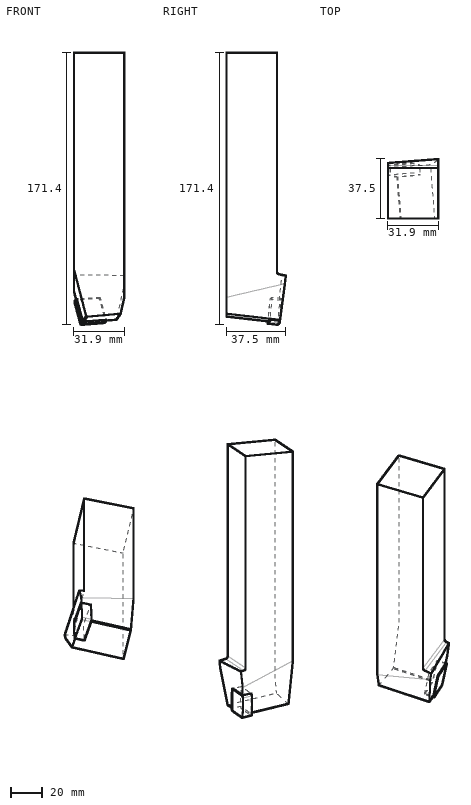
import cadquery as cq
import math

shank_width = 31.9
shank_depth = 31.9
shank_top = 171.4
head_stock = 8.5

lip_reach = 42.8
lip_root = 32.2
lip_slope = 0.2
lip_fillet = 1.7

nose_x = 4.3
nose_y = 31.7
nose_z = 0.0
rake_slope_x = 0.08
rake_slope_z = 0.115
head_depth = 85.7

insert_side = 16.1
insert_thickness = 6.3
insert_proud = 0.5
insert_corner_radius = 1.2
insert_corner_angle = 100.0
lead_angle = 4.6

flank_setback = 1.4
heel_x = 22.6
corner_flat = 0.5
heel_angle = 77.0
flank_length = 222.8

rake_plane = cq.Plane(
    origin=(nose_x, nose_y, nose_z),
    xDir=(1, rake_slope_x, 0),
    normal=(rake_slope_x, -1, rake_slope_z),
)
left_angle = lead_angle + insert_corner_angle


def step(start, angle, length):
    """Point reached from start by going length at an angle in degrees."""
    turn = math.radians(angle)
    return (start[0] + length * math.cos(turn), start[1] + length * math.sin(turn))


def make_blank():
    """Square bar with the lip stock along its +Y side, before the head is trimmed."""
    lip_end = lip_root - lip_slope * (lip_reach - shank_depth)
    profile = (
        cq.Workplane("YZ")
        .polyline([
            (0, -head_stock),
            (lip_reach, -head_stock),
            (lip_reach, lip_end),
            (shank_depth, lip_root),
            (shank_depth, shank_top),
            (0, shank_top),
        ])
        .close()
        .extrude(shank_width)
    )
    root_middle = (shank_width / 2, shank_depth, lip_root)
    return profile.edges(cq.selectors.NearestToPointSelector(root_middle)).fillet(lip_fillet)


def make_head_envelope():
    """Prism square to the rake plane, bounded by the left, lower and right flanks."""
    inset = flank_setback / math.sin(math.radians(insert_corner_angle))
    corner = step(step((0, 0), lead_angle, inset), left_angle, inset)
    heel = step(corner, lead_angle, (heel_x - corner[0]) / math.cos(math.radians(lead_angle)))
    outline = [
        step(corner, left_angle, corner_flat),
        step(corner, lead_angle, corner_flat),
        heel,
        step(heel, heel_angle, flank_length),
        step(corner, left_angle, flank_length),
    ]
    return cq.Workplane(rake_plane).polyline(outline).close().extrude(head_depth)


def make_insert():
    nose = (0, 0)
    lower_end = step(nose, lead_angle, insert_side)
    left_end = step(nose, left_angle, insert_side)
    far_end = step(lower_end, left_angle, insert_side)
    return (
        cq.Workplane(rake_plane)
        .workplane(offset=-insert_proud)
        .polyline([nose, lower_end, far_end, left_end])
        .close()
        .extrude(insert_thickness)
        .edges(cq.selectors.ParallelDirSelector(rake_plane.zDir))
        .fillet(insert_corner_radius)
    )


insert = make_insert()
holder = make_blank().intersect(make_head_envelope()).cut(insert)

result = cq.Compound.makeCompound([holder.val(), insert.val()])